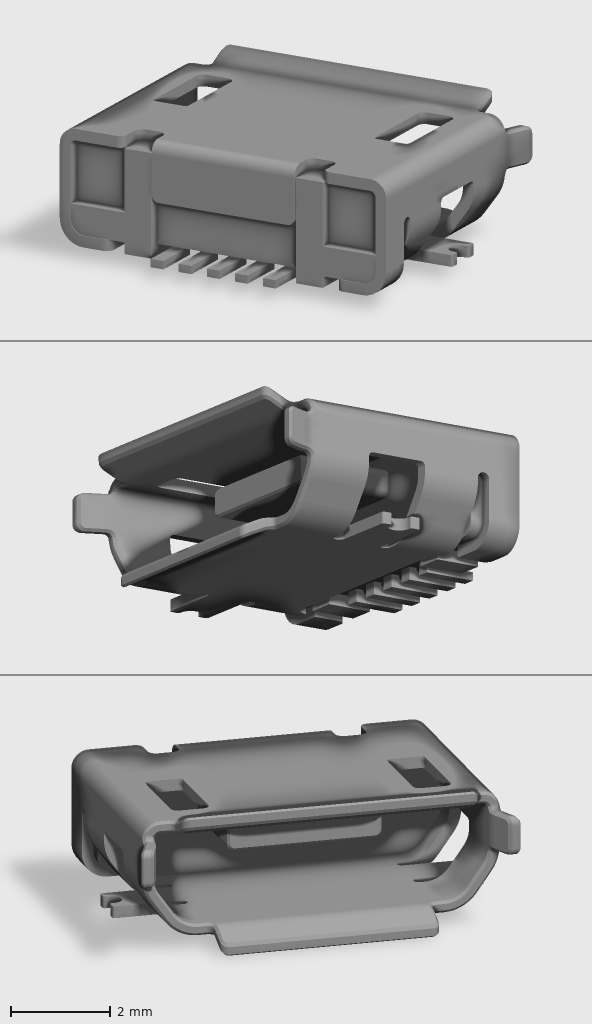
import cadquery as cq
import math

SHELL_WIDTH = 7.54
SHELL_HEIGHT = 2.49
SHELL_LENGTH = 5.0
SHEET = 0.25
HALF_WIDTH = SHELL_WIDTH / 2
CEILING = SHELL_HEIGHT - SHEET

TOP_RADIUS = 0.37
REAR_RADIUS = 0.55
PLUG_RADIUS = 0.86
PLUG_FLOOR_HALF = 3.03
PLUG_KNEE_Z = 1.02

SLIT_REAR = 0.74
SLIT_FRONT = 1.01
SLIT_TOP = 1.5
FLOOR_GAP_HALF = 2.61
FLOOR_GAP_CORNER = 0.17
FLOOR_NOTCH_HALF = 2.53
FLOOR_NOTCH_FRONT = 1.26
FLOOR_NOTCH_CORNER = 0.25

ROOF_SLOT_X = 2.55
ROOF_SLOT_WIDTH = 0.8
ROOF_SLOT_REAR = 2.38
ROOF_SLOT_FRONT = 4.38
ROOF_SLOT_REAR_CORNER = 0.08
ROOF_SLOT_FRONT_CORNER = 0.16
WINDOW_REAR = 2.29
WINDOW_FRONT = 3.64
WINDOW_TOP = 1.5
WINDOW_INNER_X = 2.38
WINDOW_CORNER = 0.1
NOTCH_INNER_X = 1.65
NOTCH_OUTER_X = 2.3
NOTCH_DEPTH = 0.66
NOTCH_CORNER = 0.18
NOTCH_MOUTH_RADIUS = 0.15

FLAP_BOTTOM = 1.22
FLAP_CORNER = 0.16

OVERALL_WIDTH = 8
LIP_END = 5.71
ROOF_LIP_FLARE = math.radians(24.5)
SIDE_LIP_FLARE = math.radians(22.5)
LIP_BEND_RADIUS = 0.46
LIP_CORNER = 0.16
LIP_ROOT_RADIUS = 0.12
LIP_ROOT_OVERLAP = 0.16
MOUTH_CHAMFER = 0.06
ROOF_LIP_RISE = 0.26
SIDE_LIP_RISE = (OVERALL_WIDTH - SHELL_WIDTH) / 2
ROOF_LIP_WIDTH = 6.22
FLOOR_LIP_WIDTH = 4.61
SIDE_LIP_WIDTH = 0.81
SIDE_LIP_Z = 1.71

FOOT_REAR = 2.49
FOOT_FRONT = 3.4
FOOT_END_X = 3.91
FOOT_NOTCH_RADIUS = 0.22
FOOT_NOTCH_X = 3.82
FOOT_CORNER = 0.05

HOUSING_REAR = 0.26
HOUSING_FRONT = 1.76
PAD_REAR = 0.02
LEG_INNER_X = 1.67
LEG_OUTER_X = 2.29
LEDGE_TOP = 0.88
TONGUE_HALF_WIDTH = 1.63
TONGUE_FRONT = 3.84
TONGUE_BOTTOM = 1.34
TONGUE_THICKNESS = 0.6
TONGUE_EDGE = 0.16
TONGUE_TIP = 0.05

LEAD_COUNT = 5
LEAD_PITCH = 0.65
LEAD_WIDTH = 0.3
LEAD_THICKNESS = 0.18
LEAD_BOTTOM = -0.02
LEAD_END = -0.41
LEAD_BACK = 0.7
LEAD_BEND = 0.08

OVERCUT = 0.08
NEARLY_ROUND = 0.49


def box(x0, x1, y0, y1, z0, z1):
    return cq.Workplane("XY").box(x1 - x0, y1 - y0, z1 - z0, centered=False).translate((x0, y0, z0))


def mirrored_pair(shape):
    return shape.union(shape.mirror("YZ"))


def extrude_along_y(outline, y0, y1):
    return outline.extrude(-(y1 - y0)).translate((0, y0, 0))


def rear_prism(inset, y0, y1):
    """Boxy section with rounded corners, shrunk by inset."""
    half = HALF_WIDTH - inset
    prism = box(-half, half, y0, y1, inset, SHELL_HEIGHT - inset)
    prism = prism.edges("|Y and >Z").fillet(TOP_RADIUS - inset)
    return prism.edges("|Y and <Z").fillet(REAR_RADIUS - inset)


def plug_prism(inset, y0, y1):
    """Section with sloping lower sides, shrunk by inset."""
    slope = math.atan2(HALF_WIDTH - PLUG_FLOOR_HALF, PLUG_KNEE_Z)
    half = HALF_WIDTH - inset
    floor_half = PLUG_FLOOR_HALF - inset * math.tan((math.pi / 2 - slope) / 2)
    knee_z = PLUG_KNEE_Z + inset * math.tan(slope / 2)
    roof = SHELL_HEIGHT - inset
    outline = cq.Workplane("XZ").polyline([
        (-floor_half, inset), (floor_half, inset), (half, knee_z),
        (half, roof), (-half, roof), (-half, knee_z),
    ]).close()
    prism = extrude_along_y(outline, y0, y1)
    prism = prism.edges("|Y and >Z").fillet(TOP_RADIUS - inset)
    return prism.edges("|Y").edges(cq.selectors.BoxSelector(
        (-SHELL_WIDTH, y0 - OVERCUT, 0), (SHELL_WIDTH, y1 + OVERCUT, SHELL_HEIGHT / 2),
    )).fillet(PLUG_RADIUS - inset)


def sheet_shell():
    """Rear and front tubes, parted below the slit top and joined above it."""
    rear = rear_prism(0, 0, SLIT_FRONT).cut(rear_prism(SHEET, 0, SLIT_FRONT))
    slit = box(-SHELL_WIDTH, SHELL_WIDTH, SLIT_REAR, SLIT_FRONT, -OVERCUT, SLIT_TOP)
    slit = slit.edges("|X and >Z").fillet(NEARLY_ROUND * (SLIT_FRONT - SLIT_REAR))
    floor_gap = box(-FLOOR_GAP_HALF, FLOOR_GAP_HALF, 0, SLIT_FRONT, -OVERCUT, SHEET)
    rear = rear.cut(slit).cut(floor_gap)
    rear = rear.edges("|Z and <Y").edges(cq.selectors.BoxSelector(
        (-HALF_WIDTH, -OVERCUT, 0), (HALF_WIDTH, OVERCUT, SHEET),
    )).fillet(FLOOR_GAP_CORNER)
    front = plug_prism(0, SLIT_FRONT, SHELL_LENGTH).cut(plug_prism(SHEET, SLIT_FRONT, SHELL_LENGTH))
    front = front.faces(">Y").chamfer(MOUTH_CHAMFER)
    floor_notch = box(-FLOOR_NOTCH_HALF, FLOOR_NOTCH_HALF, SLIT_REAR, FLOOR_NOTCH_FRONT, -OVERCUT, SHEET)
    front = front.cut(floor_notch.edges("|Z and >Y").fillet(FLOOR_NOTCH_CORNER))
    return rear.union(front)


def roof_slots():
    half = ROOF_SLOT_WIDTH / 2
    slot = box(ROOF_SLOT_X - half, ROOF_SLOT_X + half, ROOF_SLOT_REAR, ROOF_SLOT_FRONT,
               CEILING - OVERCUT, SHELL_HEIGHT + OVERCUT)
    slot = slot.edges("|Z and >Y").fillet(ROOF_SLOT_FRONT_CORNER)
    slot = slot.edges("|Z and <Y").fillet(ROOF_SLOT_REAR_CORNER)
    return mirrored_pair(slot)


def side_windows():
    """Windows in the side walls, with round-ended reliefs in the floor beside each foot."""
    window = box(WINDOW_INNER_X, SHELL_WIDTH, WINDOW_REAR, WINDOW_FRONT, SHEET, WINDOW_TOP)
    window = window.edges("|X and >Z").fillet(WINDOW_CORNER)
    for y0, y1 in ((WINDOW_REAR, FOOT_REAR), (FOOT_FRONT, WINDOW_FRONT)):
        relief = box(WINDOW_INNER_X, SHELL_WIDTH, y0, y1, -OVERCUT, SHEET)
        window = window.union(relief.edges("|Z and <X").fillet(NEARLY_ROUND * (y1 - y0)))
    return mirrored_pair(window)


def rear_notches():
    """Roof notches either side of the flap, flared where the outer side meets the rear edge."""
    r = NOTCH_MOUTH_RADIUS
    outline = (
        cq.Workplane("XY", origin=(0, 0, CEILING))
        .moveTo(NOTCH_INNER_X, -OVERCUT)
        .lineTo(NOTCH_INNER_X, NOTCH_DEPTH)
        .lineTo(NOTCH_OUTER_X, NOTCH_DEPTH)
        .lineTo(NOTCH_OUTER_X, r)
        .radiusArc((NOTCH_OUTER_X + r, 0), -r)
        .lineTo(NOTCH_OUTER_X + r, -OVERCUT)
        .close()
    )
    notch = outline.extrude(SHEET + OVERCUT).edges("|Z and >Y").fillet(NOTCH_CORNER)
    return mirrored_pair(notch)


def rear_flap():
    flap = box(-NOTCH_INNER_X, NOTCH_INNER_X, 0, HOUSING_REAR, FLAP_BOTTOM, SHELL_HEIGHT)
    return flap.edges("|Y and <Z").fillet(FLAP_CORNER)


def flared_lip(width, rise, flare):
    """Lip along +Y flaring up to z = rise, with its outer surface leaving from z = 0."""
    half = width / 2
    root = SHELL_LENGTH - LIP_ROOT_OVERLAP
    sharp_rise = rise + MOUTH_CHAMFER * math.sin(flare)
    bend = LIP_END - sharp_rise / math.tan(flare)
    inner_bend = bend + SHEET * math.tan(flare / 2)
    inner_rise = sharp_rise - SHEET / math.cos(flare)
    sheet = (
        cq.Workplane("YZ")
        .polyline([
            (root, 0), (bend, 0), (LIP_END, sharp_rise), (LIP_END, inner_rise),
            (inner_bend, -SHEET), (root, -SHEET),
        ])
        .close()
        .extrude(width, both=True)
    )
    sheet = sheet.edges(cq.selectors.NearestToPointSelector((0, bend, 0))).fillet(LIP_BEND_RADIUS)
    sheet = sheet.edges(
        cq.selectors.NearestToPointSelector((0, inner_bend, -SHEET))
    ).fillet(LIP_BEND_RADIUS + SHEET)

    r = LIP_ROOT_RADIUS
    blank = (
        cq.Workplane("XY", origin=(0, 0, -SHELL_HEIGHT))
        .moveTo(-half, root)
        .lineTo(half, root)
        .lineTo(half + r, SHELL_LENGTH)
        .radiusArc((half, SHELL_LENGTH + r), r)
        .lineTo(half, LIP_END)
        .lineTo(-half, LIP_END)
        .lineTo(-half, SHELL_LENGTH + r)
        .radiusArc((-half - r, SHELL_LENGTH), r)
        .close()
        .extrude(2 * SHELL_HEIGHT)
    )
    blank = blank.edges("|Z and >Y").fillet(LIP_CORNER)
    return sheet.intersect(blank).edges("|X and >Y").chamfer(MOUTH_CHAMFER)


def mouth_lips():
    origin = (0, 0, 0)
    y_axis = (0, 1, 0)
    roof = flared_lip(ROOF_LIP_WIDTH, ROOF_LIP_RISE, ROOF_LIP_FLARE).translate((0, 0, SHELL_HEIGHT))
    floor = flared_lip(FLOOR_LIP_WIDTH, ROOF_LIP_RISE, ROOF_LIP_FLARE).rotate(origin, y_axis, 180)
    side = flared_lip(SIDE_LIP_WIDTH, SIDE_LIP_RISE, SIDE_LIP_FLARE).rotate(origin, y_axis, 90)
    side = side.translate((HALF_WIDTH, 0, SIDE_LIP_Z))
    return roof.union(floor).union(mirrored_pair(side))


def solder_feet():
    """Flat feet with a round-bottomed notch in the outer end."""
    middle = (FOOT_REAR + FOOT_FRONT) / 2
    r = FOOT_NOTCH_RADIUS
    foot = box(WINDOW_INNER_X - OVERCUT, FOOT_END_X, FOOT_REAR, FOOT_FRONT, 0, SHEET)
    bite = cq.Workplane("XY").center(FOOT_NOTCH_X, middle).circle(r).extrude(SHEET)
    bite = bite.union(box(FOOT_NOTCH_X, FOOT_END_X, middle - r, middle + r, 0, SHEET))
    foot = foot.cut(bite).edges("|Z and >X").fillet(FOOT_CORNER)
    return mirrored_pair(foot)


def housing():
    """Insulator filling the rear of the shell, with rear pads, legs and a tongue."""
    body = rear_prism(SHEET, HOUSING_REAR, SLIT_FRONT)
    body = body.union(plug_prism(SHEET, SLIT_FRONT, HOUSING_FRONT))
    ledge = rear_prism(SHEET, PAD_REAR, HOUSING_REAR)
    ledge = ledge.intersect(box(LEG_INNER_X, HALF_WIDTH, PAD_REAR, HOUSING_REAR, 0, LEDGE_TOP))
    post = box(LEG_INNER_X, LEG_OUTER_X, PAD_REAR, HOUSING_REAR, 0, CEILING)
    leg = box(LEG_INNER_X, LEG_OUTER_X, PAD_REAR, SLIT_FRONT, 0, SHEET)
    body = body.union(mirrored_pair(ledge.union(post).union(leg)))
    tongue = box(-TONGUE_HALF_WIDTH, TONGUE_HALF_WIDTH, HOUSING_FRONT - OVERCUT, TONGUE_FRONT,
                 TONGUE_BOTTOM, TONGUE_BOTTOM + TONGUE_THICKNESS)
    tongue = tongue.edges("|Y").fillet(TONGUE_EDGE)
    tongue = tongue.faces(">Y").chamfer(TONGUE_TIP)
    return body.union(tongue)


def leads():
    """Row of leads running back from under the housing and turning up into it."""
    top = LEAD_BOTTOM + LEAD_THICKNESS
    lead = (
        cq.Workplane("YZ")
        .moveTo(LEAD_END, LEAD_BOTTOM)
        .lineTo(LEAD_BACK, LEAD_BOTTOM)
        .lineTo(LEAD_BACK, SHEET + OVERCUT)
        .lineTo(LEAD_BACK - LEAD_THICKNESS, SHEET + OVERCUT)
        .lineTo(LEAD_BACK - LEAD_THICKNESS, top + LEAD_BEND)
        .radiusArc((LEAD_BACK - LEAD_THICKNESS - LEAD_BEND, top), LEAD_BEND)
        .lineTo(LEAD_END, top)
        .close()
        .extrude(LEAD_WIDTH / 2, both=True)
    )
    row = cq.Workplane("XY")
    for index in range(LEAD_COUNT):
        offset = (index - (LEAD_COUNT - 1) / 2) * LEAD_PITCH
        row = row.union(lead.translate((offset, 0, 0)))
    return row


shell = sheet_shell().cut(roof_slots()).cut(side_windows()).cut(rear_notches())
shell = shell.union(rear_flap()).union(mouth_lips()).union(solder_feet())
bend_edge = cq.selectors.BoxSelector(
    (-NOTCH_INNER_X, -OVERCUT, SHELL_HEIGHT - OVERCUT),
    (NOTCH_INNER_X, OVERCUT, SHELL_HEIGHT + OVERCUT),
)
shell = shell.edges("|X").edges(bend_edge).fillet(SHEET)
result = shell.union(housing()).union(leads())